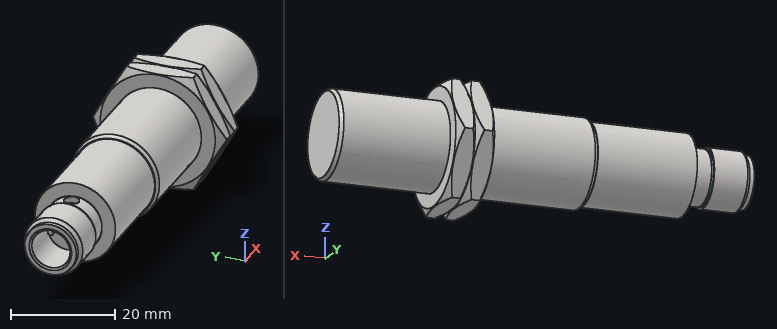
import cadquery as cq
import math

TOTAL_LENGTH = 86.5

TIP_DIAMETER = 10.6
TIP_LENGTH = 0.95
COLLAR_DIAMETER = 12.0
COLLAR_START = 1.65
COLLAR_END = 8.5
NECK_DIAMETER = 11.3
NECK_START = 8.9
NECK_ROOT_DIAMETER = 11.0
NECK_TAPER_START = 12.5
GROOVE_DIAMETER = 11.2

BODY_DIAMETER = 16.6
BODY_START = 12.9
THREAD_DIAMETER = 18.0
THREAD_START = 33.3
THREAD_END_DIAMETER = 16.95
THREAD_CHAMFER_LENGTH = 0.8

SOCKET_MOUTH_DIAMETER = 8.7
SOCKET_DIAMETER = 7.9
SOCKET_CHAMFER_LENGTH = 0.3
SOCKET_DEPTH = 8.65
KEY_DIAMETER = 1.1
KEY_CENTER_HEIGHT = 3.6

DIMPLE_DIAMETER = 3.0
DIMPLE_X = 10.9
DIMPLE_WALL_DEPTH = 1.4
DIMPLE_POINT_ANGLE = 140.0

NUT_COUNT = 2
NUT_SIDES = 6
NUT_ACROSS_FLATS = 24.0
NUT_THICKNESS = 4.0
NUT_START = 55.9
NUT_FACE_DIAMETER = 23.7
NUT_CHAMFER_ANGLE = 30.0


def revolve_about_x(outline):
    """Revolve a list of (x, radius) points around the X axis."""
    return cq.Workplane("XY").polyline(outline).close().revolve(360, (0, 0, 0), (1, 0, 0))


def make_stepped_shaft():
    thread_end_radius = THREAD_END_DIAMETER / 2
    return revolve_about_x([
        (0, 0),
        (0, TIP_DIAMETER / 2),
        (TIP_LENGTH, TIP_DIAMETER / 2),
        (COLLAR_START, COLLAR_DIAMETER / 2),
        (COLLAR_END, COLLAR_DIAMETER / 2),
        (COLLAR_END, GROOVE_DIAMETER / 2),
        (NECK_START, GROOVE_DIAMETER / 2),
        (NECK_START, NECK_DIAMETER / 2),
        (NECK_TAPER_START, NECK_DIAMETER / 2),
        (BODY_START, NECK_ROOT_DIAMETER / 2),
        (BODY_START, BODY_DIAMETER / 2),
        (THREAD_START, BODY_DIAMETER / 2),
        (THREAD_START, thread_end_radius),
        (THREAD_START + THREAD_CHAMFER_LENGTH, THREAD_DIAMETER / 2),
        (TOTAL_LENGTH - THREAD_CHAMFER_LENGTH, THREAD_DIAMETER / 2),
        (TOTAL_LENGTH, thread_end_radius),
        (TOTAL_LENGTH, 0),
    ])


def make_socket():
    """Socket void with a chamfered mouth, less the round rib that keys the plug."""
    bore = revolve_about_x([
        (0, 0),
        (0, SOCKET_MOUTH_DIAMETER / 2),
        (SOCKET_CHAMFER_LENGTH, SOCKET_DIAMETER / 2),
        (SOCKET_DEPTH, SOCKET_DIAMETER / 2),
        (SOCKET_DEPTH, 0),
    ])
    key = (
        cq.Workplane("YZ")
        .center(0, KEY_CENTER_HEIGHT)
        .circle(KEY_DIAMETER / 2)
        .extrude(SOCKET_DEPTH)
    )
    return bore.cut(key)


def make_dimple():
    radius = DIMPLE_DIAMETER / 2
    point_depth = radius / math.tan(math.radians(DIMPLE_POINT_ANGLE / 2))
    neck_top = NECK_DIAMETER / 2
    cone_base = neck_top - DIMPLE_WALL_DEPTH
    cutter_top = COLLAR_DIAMETER / 2
    half_profile = [
        (DIMPLE_X, cone_base - point_depth),
        (DIMPLE_X + radius, cone_base),
        (DIMPLE_X + radius, cutter_top),
        (DIMPLE_X, cutter_top),
    ]
    return (
        cq.Workplane("XZ")
        .polyline(half_profile)
        .close()
        .revolve(360, (DIMPLE_X, 0, 0), (DIMPLE_X, 1, 0))
    )


def make_housing():
    return make_stepped_shaft().cut(make_socket()).cut(make_dimple())


def make_nut(start):
    """Hexagonal nut with flats facing +Z and -Z, chamfered at both faces."""
    across_corners = NUT_ACROSS_FLATS / math.cos(math.pi / NUT_SIDES)
    corner_radius = across_corners / 2
    face_radius = NUT_FACE_DIAMETER / 2
    chamfer_length = (corner_radius - face_radius) * math.tan(math.radians(NUT_CHAMFER_ANGLE))
    end = start + NUT_THICKNESS
    hexagon = (
        cq.Workplane("YZ", origin=(start, 0, 0))
        .polygon(NUT_SIDES, across_corners)
        .circle(THREAD_DIAMETER / 2)
        .extrude(NUT_THICKNESS)
    )
    chamfer_envelope = revolve_about_x([
        (start, 0),
        (start, face_radius),
        (start + chamfer_length, corner_radius),
        (end - chamfer_length, corner_radius),
        (end, face_radius),
        (end, 0),
    ])
    return hexagon.intersect(chamfer_envelope)


housing = make_housing()
nuts = [make_nut(NUT_START + index * NUT_THICKNESS) for index in range(NUT_COUNT)]

result = cq.Compound.makeCompound([housing.val(), *[nut.val() for nut in nuts]])